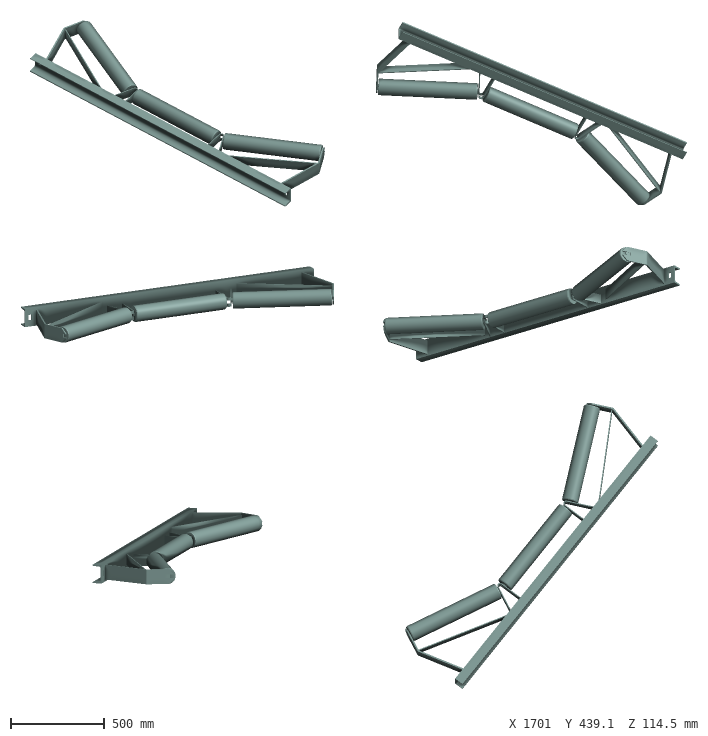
import cadquery as cq
import math


overall_length = 1701
trough_angle = 25
forward_tilt = 2

beam_length = 1700.0
beam_height = 100.0
beam_depth = 50.0
web_thickness = 5.0
flange_tip_thickness = 7.0
flange_root_thickness = 10.0
root_radius = 9.0
tip_radius = 3.0
end_slot_width = 17
end_slot_height = 30.0
end_slot_inset = 30.0

outer_strip_width = 80.0
inner_strip_width = 51
brace_width = 60.0
outer_strip_thickness = 8.0
inner_strip_thickness = 5.0
brace_thickness = 5.0
outer_bend_radius = 12.0
inner_bend_radius = 15.0
tip_chamfer = 27.0

outer_leg_angle = 15
outer_bend_y = 300.0
outer_arm_length = 143.0
inner_leg_x = 272
inner_bracket_top = 197.0
brace_angle = 30

roller_radius = 45.0
roller_length = 530.0
roller_end_taper = 2.0
roller_end_taper_length = 5.0
spindle_depth = 24.0
spindle_width = 19.0
slot_depth = 68
slot_reach = 20.0
spindle_end_length = 10.0
centre_roller_y = 168.0
centre_roller_z = -19.5
side_roller_arm_distance = 110.0
side_roller_gap = 3.0


def offset(point, distance, angle):
    """The XY point at a distance from another, in a direction given in degrees from +X."""
    radians = math.radians(angle)
    return (point[0] + distance * math.cos(radians), point[1] + distance * math.sin(radians))


def foot(point, angle):
    """Where a line through an XY point, at an angle in degrees from +X, meets the beam."""
    drop = point[1] - beam_depth
    return (point[0] - drop / math.tan(math.radians(angle)), beam_depth)


def standing_strip(outline, width):
    """A closed XY outline extruded to the strip's width, centred on Z = 0."""
    return outline.extrude(width / 2, both=True)


arm_angle = 90 + trough_angle
leg_angle = 90 - outer_leg_angle
outer_bend = (overall_length / 2 - outer_bend_radius, outer_bend_y)
inner_bend = (inner_leg_x + inner_bend_radius, inner_bracket_top - inner_bend_radius)
outer_inside_radius = outer_bend_radius - outer_strip_thickness
inner_inside_radius = inner_bend_radius - inner_strip_thickness


def make_beam():
    """Channel with tapered flanges and a slot through the web near each end."""
    half_height = beam_height / 2
    tip_z = half_height - flange_tip_thickness
    root_z = half_height - flange_root_thickness
    web_face_y = beam_depth - web_thickness
    beam = (
        cq.Workplane("YZ")
        .polyline([
            (0, -half_height),
            (beam_depth, -half_height),
            (beam_depth, half_height),
            (0, half_height),
            (0, tip_z),
            (web_face_y, root_z),
            (web_face_y, -root_z),
            (0, -tip_z),
        ])
        .close()
        .extrude(beam_length / 2, both=True)
    )
    for side in (-1, 1):
        root = cq.selectors.NearestToPointSelector((0, web_face_y, side * root_z))
        beam = beam.edges(root).fillet(root_radius)
        tip = cq.selectors.NearestToPointSelector((0, 0, side * tip_z))
        beam = beam.edges(tip).fillet(tip_radius)
    slot_x = beam_length / 2 - end_slot_inset
    slots = (
        cq.Workplane("XZ")
        .pushPoints([(-slot_x, 0), (slot_x, 0)])
        .rect(end_slot_width, end_slot_height)
        .extrude(-beam_depth)
    )
    return beam.cut(slots)


def make_roller(axis_plane):
    """Roller along the plane's normal, with rectangular spindle ends."""
    half_length = roller_length / 2
    shell = (
        cq.Workplane(axis_plane)
        .workplane(offset=-half_length)
        .circle(roller_radius)
        .extrude(roller_length)
        .edges("%CIRCLE")
        .chamfer(roller_end_taper_length, roller_end_taper)
    )
    spindle_half_length = half_length + spindle_end_length
    spindle = (
        cq.Workplane(axis_plane)
        .rect(spindle_width, spindle_depth)
        .extrude(spindle_half_length, both=True)
    )
    return shell.union(spindle)


def spindle_slots(axis_plane):
    """Cutter for the open slots, one at each end of a roller, that its spindle drops into."""
    return (
        cq.Workplane(axis_plane)
        .center(0, (spindle_depth - slot_depth) / 2)
        .rect(spindle_width, slot_depth)
        .extrude(roller_length / 2 + slot_reach, both=True)
    )


def make_outer_bracket():
    """Strip bent into a leg on the beam and an arm along the side roller's outer end."""
    arm_start = offset(outer_bend, outer_bend_radius, trough_angle)
    arm_start_inside = offset(outer_bend, outer_inside_radius, trough_angle)
    leg_top = offset(outer_bend, outer_bend_radius, -outer_leg_angle)
    leg_top_inside = offset(outer_bend, outer_inside_radius, -outer_leg_angle)
    bracket = standing_strip(
        cq.Workplane("XY")
        .moveTo(*foot(leg_top, leg_angle))
        .lineTo(*leg_top)
        .threePointArc(offset(outer_bend, outer_bend_radius, 0), arm_start)
        .lineTo(*offset(arm_start, outer_arm_length, arm_angle))
        .lineTo(*offset(arm_start_inside, outer_arm_length, arm_angle))
        .lineTo(*arm_start_inside)
        .threePointArc(offset(outer_bend, outer_inside_radius, 0), leg_top_inside)
        .lineTo(*foot(leg_top_inside, leg_angle))
        .close(),
        outer_strip_width,
    )
    tip_edges = cq.selectors.ParallelDirSelector(cq.Vector(*offset((0, 0), 1, trough_angle), 0))
    return bracket.edges(tip_edges).chamfer(tip_chamfer)


def make_inner_bracket():
    """Strip folded over into an upright leg and a leg leaning with the side roller's end."""
    lean_top = offset(inner_bend, inner_bend_radius, trough_angle)
    lean_top_inside = offset(inner_bend, inner_inside_radius, trough_angle)
    upright_top = offset(inner_bend, inner_bend_radius, 180)
    upright_top_inside = offset(inner_bend, inner_inside_radius, 180)
    bracket = standing_strip(
        cq.Workplane("XY")
        .moveTo(upright_top[0], beam_depth)
        .lineTo(*upright_top)
        .threePointArc(offset(inner_bend, inner_bend_radius, 90), lean_top)
        .lineTo(*foot(lean_top, arm_angle))
        .lineTo(*foot(lean_top_inside, arm_angle))
        .lineTo(*lean_top_inside)
        .threePointArc(offset(inner_bend, inner_inside_radius, 90), upright_top_inside)
        .lineTo(upright_top_inside[0], beam_depth)
        .close(),
        inner_strip_width,
    )
    return bracket.translate((0, 0, centre_roller_z))


def make_brace(bracket):
    """Sloping strip from the beam to the inside of an outer bracket's bend."""
    lower_end = offset(outer_bend, outer_bend_radius - outer_strip_thickness / 2, brace_angle)
    upper_end = offset(lower_end, brace_thickness, brace_angle + 90)
    brace = standing_strip(
        cq.Workplane("XY")
        .polyline([upper_end, foot(upper_end, brace_angle), foot(lower_end, brace_angle), lower_end])
        .close(),
        brace_width,
    )
    return brace.cut(bracket)


def roller_plane(centre, axis_angle, tilt_angle):
    """Plane normal to a roller's axis, with X on the strip width and -Y the way slots open."""
    tilt = math.radians(tilt_angle)
    axis = (*offset((0, 0), math.cos(tilt), axis_angle), math.sin(tilt))
    lean = (*offset((0, 0), -math.sin(tilt), axis_angle), math.cos(tilt))
    return cq.Plane(origin=centre, xDir=lean, normal=axis)


def side_roller_centre():
    """Centre of the +X side roller, whose outer end is level with the middle of the bracket arm."""
    tilt = math.radians(forward_tilt)
    arm_inside = offset(outer_bend, outer_inside_radius, trough_angle)
    beside_arm = offset(arm_inside, side_roller_arm_distance, arm_angle)
    reach = side_roller_gap + roller_length / 2 * math.cos(tilt)
    return (*offset(beside_arm, -reach, trough_angle), -roller_length / 2 * math.sin(tilt))


centre_plane = roller_plane((0, centre_roller_y, centre_roller_z), 0, 0)
side_plane = roller_plane(side_roller_centre(), trough_angle, forward_tilt)
centre_slots = spindle_slots(centre_plane)
side_slots = spindle_slots(side_plane)

beam = make_beam()
centre_roller = make_roller(centre_plane)
side_roller = make_roller(side_plane)
outer_bracket = make_outer_bracket()
brace = make_brace(outer_bracket)
outer_bracket = outer_bracket.cut(side_slots)
inner_bracket = make_inner_bracket().cut(centre_slots).cut(side_slots)

bodies = [beam.val(), centre_roller.val()]
for paired_body in (side_roller, outer_bracket, inner_bracket, brace):
    bodies.append(paired_body.val())
    bodies.append(paired_body.mirror("YZ").val())

result = cq.Compound.makeCompound(bodies)